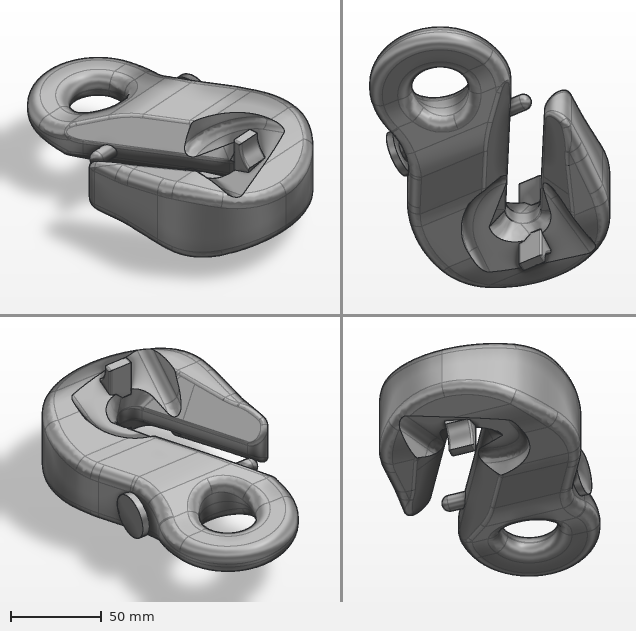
import cadquery as cq
import math

EYE_RADIUS = 39.0
EYE_HOLE_RADIUS = 15.7
EYE_HALF_HEIGHT = 8.0
EYE_HOLE_ROUND = 7.8

BACK_X = 83.0
BACK_RADIUS = 57.0
BELLY_RADIUS = 52.4
BELLY_X = BACK_X + BACK_RADIUS - BELLY_RADIUS
NAPE_RADIUS = 31.0
TIP_RADIUS = 7.7
TIP_BOTTOM = -55.98
OUTER_ROUND = 7.0

EYE_BEND_X = 0.0
NECK_START_X = 31.2
NECK_END_X = 65.8
NECK_HALF_HEIGHT = 18.3
CREST_X = 110.7
CREST_HALF_HEIGHT = 25.2
NOSE_X = 140.1
NOSE_HALF_HEIGHT = 15.4
BEND_RADIUS = 50.0

THROAT_ANGLE = 30.0
THROAT_RADIUS = 9.5
THROAT_END_X = 95.8
THROAT_BAND = 4.4
THROAT_EDGE_ROUND = 3.0
MOUTH_REACH = 120.0
FLARE_SPREAD = 0.92
FLARE_RETREAT = 0.8
BOWL_REACH = 25.0
BOWL_SHIFTS = (0.5, 0.25, -0.9)

FLOOR_POINT = (114.0, 23.0, 23.0)
FLOOR_SLOPE_X = 0.34
FLOOR_SLOPE_Y = 0.20
POCKET_CENTER = (93.5, 2.0)
POCKET_RADIUS = 25.0
POCKET_TURN = -4.0
POCKET_LENGTH = 60.0
POCKET_DRAFT = 15.0
POCKET_FLOOR_ROUND = 6.0

TAB_X = 106.6
TAB_THICKNESS = 5.4
TAB_WIDTH = 14.5
TAB_Y = 0.8
TAB_TOP = 35.0
TAB_CURVE_POINT = (113.6, 26.5)
TAB_FOOT_X = 118.0
TAB_FOOT_Z = 21.0
TAB_ROOT_Z = 12.0
TAB_EDGE_ROUND = 1.2

PIN_X = 31.6
PIN_RADIUS = 4.5
PIN_HOLE_RADIUS = 4.6
PIN_TIP_Y = -39.4
PIN_TIP_ROUND = PIN_RADIUS - 0.01
COLLAR_RADIUS = 6.0
COLLAR_END_Y = 30.0
HEAD_RADIUS = 13.0
HEAD_TOP_Y = 43.5
HEAD_THICKNESS = 4.2
HEAD_SEAT_Y = HEAD_TOP_Y - HEAD_THICKNESS

BEYOND = 30.0
FAR = 300.0
TOUCHING = 0.005

angle = math.radians(THROAT_ANGLE)
ALONG = (math.cos(angle), math.sin(angle))
ACROSS = (math.sin(angle), -math.cos(angle))


def at(along, across):
    """Point at a distance along the throat and across it, towards the hook tip."""
    return (
        along * ALONG[0] + across * ACROSS[0],
        along * ALONG[1] + across * ACROSS[1],
    )


def on_circle(center, radius, direction):
    """Point of a circle in a direction given in radians."""
    return (
        center[0] + radius * math.cos(direction),
        center[1] + radius * math.sin(direction),
    )


throat_across = EYE_RADIUS + THROAT_RADIUS
throat_along = (THROAT_END_X - throat_across * ACROSS[0]) / ALONG[0]
tip_across = throat_across + THROAT_RADIUS + TIP_RADIUS
tip_center_y = TIP_BOTTOM + TIP_RADIUS
tip_center = ((tip_across - ACROSS[1] * tip_center_y) / ACROSS[0], tip_center_y)


def blank_outline():
    """Outline of the hook in plan, with the straight throat."""
    up_throat = angle + math.pi / 2
    down_throat = angle - math.pi / 2
    eye_foot = on_circle((0, 0), EYE_RADIUS, down_throat)

    nape_across = BACK_X * ACROSS[0] - BACK_RADIUS - NAPE_RADIUS
    nape_along = math.sqrt((EYE_RADIUS + NAPE_RADIUS) ** 2 - nape_across**2)
    nape_center = at(nape_along, nape_across)
    nape_direction = math.atan2(nape_center[1], nape_center[0])
    nape_start = on_circle((0, 0), EYE_RADIUS, nape_direction)
    nape_end = on_circle(nape_center, NAPE_RADIUS, down_throat)
    nape_middle = on_circle(
        nape_center, NAPE_RADIUS, (nape_direction - math.pi + down_throat) / 2
    )

    back_start = on_circle((BACK_X, 0), BACK_RADIUS, up_throat)
    back_middle = on_circle((BACK_X, 0), BACK_RADIUS, up_throat / 2)
    nose = (BACK_X + BACK_RADIUS, 0)

    gap = (BELLY_X - tip_center[0], -tip_center[1])
    closing = math.asin((BELLY_RADIUS - TIP_RADIUS) / math.hypot(*gap))
    underside = math.atan2(gap[1], gap[0]) - closing - math.pi / 2
    belly_middle = on_circle((BELLY_X, 0), BELLY_RADIUS, underside / 2)
    belly_end = on_circle((BELLY_X, 0), BELLY_RADIUS, underside)
    tip_start = on_circle(tip_center, TIP_RADIUS, underside)
    tip_end = on_circle(tip_center, TIP_RADIUS, up_throat)
    tip_middle = on_circle(tip_center, TIP_RADIUS, (underside + up_throat - 2 * math.pi) / 2)

    return (
        cq.Workplane("XY", origin=(0, 0, -BEYOND))
        .moveTo(*eye_foot)
        .threePointArc((-EYE_RADIUS, 0), nape_start)
        .threePointArc(nape_middle, nape_end)
        .lineTo(*back_start)
        .threePointArc(back_middle, nose)
        .threePointArc(belly_middle, belly_end)
        .lineTo(*tip_start)
        .threePointArc(tip_middle, tip_end)
        .lineTo(*at(throat_along, throat_across + THROAT_RADIUS))
        .threePointArc(
            at(throat_along + THROAT_RADIUS, throat_across),
            at(throat_along, throat_across - THROAT_RADIUS),
        )
        .close()
    )


def side_profile():
    """Solid that bounds the hook's height: thin eye, level neck, thick hook."""
    eye_end_x = -2 * BEYOND
    top = (
        cq.Workplane("XZ", origin=(0, BEYOND * 3, 0))
        .moveTo(eye_end_x, 0)
        .lineTo(eye_end_x, EYE_HALF_HEIGHT)
        .lineTo(EYE_BEND_X, EYE_HALF_HEIGHT)
        .lineTo(NECK_START_X, NECK_HALF_HEIGHT)
        .lineTo(NECK_END_X, NECK_HALF_HEIGHT)
        .lineTo(CREST_X, CREST_HALF_HEIGHT)
        .lineTo(NOSE_X, NOSE_HALF_HEIGHT)
        .lineTo(NOSE_X, 0)
        .close()
        .extrude(BEYOND * 6)
    )
    for bend_x in (EYE_BEND_X, NECK_START_X, NECK_END_X, CREST_X):
        bend = cq.selectors.BoxSelector((bend_x - 1, -FAR, 1), (bend_x + 1, FAR, 2 * BEYOND))
        top = top.edges(bend).fillet(BEND_RADIUS)
    return top.union(top.mirror("XY"))


def throat_wire(height, reach, neck_shift, end_shift, tip_shift):
    """Throat outline at a height above the straight band, flaring with height.

    The shifts say how far the neck side, the round end and the tip side move along
    the throat for each unit of height.
    """
    half_width = THROAT_RADIUS + FLARE_SPREAD * height
    neck_side = throat_across - half_width
    tip_side = throat_across + half_width
    mouth = throat_along - reach
    return (
        cq.Workplane("XY", origin=(0, 0, THROAT_BAND + height))
        .moveTo(*at(mouth, neck_side))
        .lineTo(*at(throat_along + neck_shift * height, neck_side))
        .threePointArc(
            at(throat_along + THROAT_RADIUS + end_shift * height, throat_across),
            at(throat_along + tip_shift * height, tip_side),
        )
        .lineTo(*at(mouth, tip_side))
        .close()
    )


def flare(reach, *shifts):
    """Flared cut above the straight band."""
    heights = (0, BEYOND - THROAT_BAND)
    wires = [throat_wire(height, reach, *shifts).val() for height in heights]
    return cq.Workplane(cq.Solid.makeLoft(wires, True))


def throat():
    """Straight band through the mid-plane with a conical flare on either side."""
    band = throat_wire(0, MOUTH_REACH, 0, 0, 0).extrude(-2 * THROAT_BAND)
    cone = flare(MOUTH_REACH, -FLARE_RETREAT, FLARE_SPREAD - FLARE_RETREAT, -FLARE_RETREAT)
    return band.union(cone).union(cone.mirror("XY"))


def pocket():
    """Cut for the chain link seat on the upper side, with a tilted floor."""
    prism = (
        cq.Workplane("XY", origin=(*POCKET_CENTER, 0))
        .transformed(rotate=(0, 0, POCKET_TURN))
        .moveTo(POCKET_LENGTH, POCKET_RADIUS)
        .lineTo(0, POCKET_RADIUS)
        .threePointArc((-POCKET_RADIUS, 0), (0, -POCKET_RADIUS))
        .lineTo(POCKET_LENGTH, -POCKET_RADIUS)
        .close()
        .extrude(2 * BEYOND, taper=-POCKET_DRAFT)
    )
    normal = (-FLOOR_SLOPE_X, -FLOOR_SLOPE_Y, 1)
    floor_plane = cq.Plane(FLOOR_POINT, (1, 0, FLOOR_SLOPE_X), normal)
    below_floor = cq.Workplane(floor_plane).rect(FAR, FAR).extrude(-FAR)
    lowest_face = cq.selectors.DirectionMinMaxSelector(cq.Vector(*normal), False)
    floor_face = prism.cut(below_floor).faces(lowest_face)
    return floor_face.edges("not(>X)").fillet(POCKET_FLOOR_ROUND)


def tab():
    """Upright guide tab with a flared foot behind it."""
    back = TAB_X + TAB_THICKNESS
    return (
        cq.Workplane("XZ", origin=(0, TAB_Y + TAB_WIDTH / 2, 0))
        .moveTo(TAB_X, TAB_ROOT_Z)
        .lineTo(TAB_X, TAB_TOP)
        .lineTo(back, TAB_TOP)
        .threePointArc(TAB_CURVE_POINT, (TAB_FOOT_X, TAB_FOOT_Z))
        .lineTo(TAB_FOOT_X, TAB_ROOT_Z)
        .close()
        .extrude(TAB_WIDTH)
        .edges("(<Y or >Y) and (not <Z)")
        .edges("not >X")
        .fillet(TAB_EDGE_ROUND)
    )


def y_cylinder(radius, top, bottom):
    """Cylinder along Y on the pin's axis."""
    return cq.Workplane("XZ", origin=(PIN_X, top, 0)).circle(radius).extrude(top - bottom)


def edges_on(body, tool, lowest):
    """Edges of a body that lie on a tool and stay farther than lowest from the mid-plane."""
    return [
        edge
        for edge in body.edges().vals()
        if min(abs(edge.startPoint().z), abs(edge.endPoint().z)) > lowest
        and tool.val().distance(cq.Vertex.makeVertex(*edge.positionAt(0.37).toTuple())) < TOUCHING
    ]


hook = blank_outline().extrude(2 * BEYOND).intersect(side_profile())
hook = hook.edges("not(|Z or |Y)").fillet(OUTER_ROUND)

throat_cut = throat()
hook = hook.cut(throat_cut)
throat_edges = edges_on(hook, throat_cut, THROAT_BAND + 0.1)
hook = hook.newObject(throat_edges).fillet(THROAT_EDGE_ROUND)

eye_reach = EYE_HOLE_RADIUS + 1
eye_box = cq.selectors.BoxSelector(
    (-eye_reach, -eye_reach, -BEYOND), (eye_reach, eye_reach, BEYOND)
)
hook = hook.cut(cq.Workplane("XY").circle(EYE_HOLE_RADIUS).extrude(BEYOND, both=True))
hook = hook.edges(eye_box).fillet(EYE_HOLE_ROUND)

pocket_cut = pocket()
hook = hook.cut(pocket_cut).cut(pocket_cut.mirror("XY"))

bowl_cut = flare(BOWL_REACH, *BOWL_SHIFTS)
hook = hook.cut(bowl_cut).cut(bowl_cut.mirror("XY"))

guide_tab = tab()
hook = hook.union(guide_tab).union(guide_tab.mirror("XY"))

head = y_cylinder(HEAD_RADIUS, HEAD_TOP_Y, HEAD_SEAT_Y)
collar = y_cylinder(COLLAR_RADIUS, HEAD_SEAT_Y, COLLAR_END_Y)
stem = y_cylinder(PIN_RADIUS, COLLAR_END_Y, PIN_TIP_Y).faces("<Y").edges().fillet(PIN_TIP_ROUND)
pin = head.union(collar).union(stem)

hook = hook.cut(y_cylinder(PIN_HOLE_RADIUS, COLLAR_END_Y, -2 * BEYOND))
hook = hook.cut(y_cylinder(COLLAR_RADIUS, 2 * BEYOND, COLLAR_END_Y))
hook = hook.cut(y_cylinder(HEAD_RADIUS, 2 * BEYOND, HEAD_SEAT_Y))

result = cq.Compound.makeCompound([*hook.solids().vals(), pin.val()])